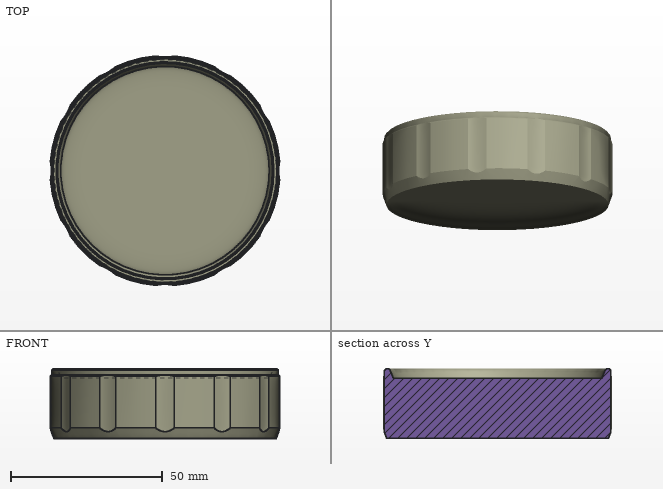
import cadquery as cq
import math

TOTAL_HEIGHT = 23.0
BODY_HEIGHT = 21.0

BODY_RADIUS = 75.7 / 2
BASE_TAPER_HEIGHT = 3.5
BASE_TAPER_ANGLE = 20.0

RIM_RADIUS = 74.7 / 2
RIM_CHAMFER = 0.5

RECESS_MOUTH_RADIUS = 70.7 / 2
RECESS_DEPTH = 3.0
RECESS_FLOOR_RADIUS = 34.3

FLUTE_COUNT = 12
FLUTE_RADIUS = 15.0
FLUTE_FLOOR_RADIUS = 37.41

BODY_TOP_CHAMFER = BODY_RADIUS - RIM_RADIUS
BASE_RADIUS = BODY_RADIUS - BASE_TAPER_HEIGHT * math.tan(math.radians(BASE_TAPER_ANGLE))
RIM_CHAMFER_Z = TOTAL_HEIGHT - RIM_CHAMFER
RECESS_FLOOR_Z = TOTAL_HEIGHT - RECESS_DEPTH


def make_cap():
    """Revolve the half section of the body, rim and top recess about Z."""
    section = [
        (0, 0),
        (BASE_RADIUS, 0),
        (BODY_RADIUS, BASE_TAPER_HEIGHT),
        (BODY_RADIUS, BODY_HEIGHT - BODY_TOP_CHAMFER),
        (RIM_RADIUS, BODY_HEIGHT),
        (RIM_RADIUS, RIM_CHAMFER_Z),
        (RIM_RADIUS - RIM_CHAMFER, TOTAL_HEIGHT),
        (RECESS_MOUTH_RADIUS + RIM_CHAMFER, TOTAL_HEIGHT),
        (RECESS_MOUTH_RADIUS, RIM_CHAMFER_Z),
        (RECESS_FLOOR_RADIUS, RECESS_FLOOR_Z),
        (0, RECESS_FLOOR_Z),
    ]
    return cq.Workplane("XZ").polyline(section).close().revolve(360, (0, 0), (0, 1))


def make_flute_cutters():
    """Upright cylinders, one for each flute, as tall as the body."""
    return (
        cq.Workplane("XY")
        .polarArray(FLUTE_FLOOR_RADIUS + FLUTE_RADIUS, 0, 360, FLUTE_COUNT)
        .circle(FLUTE_RADIUS)
        .extrude(BODY_HEIGHT, combine=False)
    )


result = make_cap().cut(make_flute_cutters())